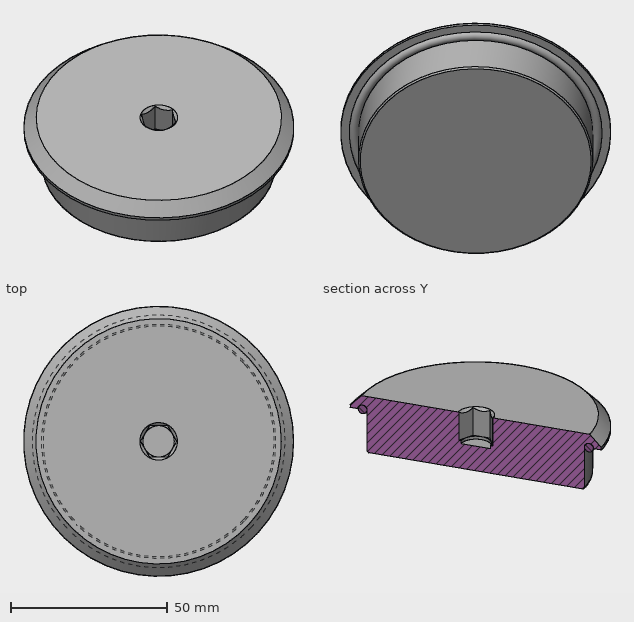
import cadquery as cq
import math

height = 20.0
flange_diameter = 86.5
flange_thickness = 5.0
flange_chamfer = 4.0
plug_diameter = 75.0
plug_chamfer = 0.5

ring_outer_diameter = 81.0
ring_section_diameter = (ring_outer_diameter - plug_diameter) / 2
ring_center_radius = (plug_diameter + ring_section_diameter) / 2

socket_across_flats = 10.0
socket_depth = 10.0
socket_mouth_diameter = 12.0
countersink_half_angle = 45.0
relief_diameter = socket_across_flats
relief_depth = 1.0

flange_bottom = height - flange_thickness


def make_sealing_ring():
    """Round-section ring centred on the flange's underside."""
    return (
        cq.Workplane("XZ")
        .center(ring_center_radius, flange_bottom)
        .circle(ring_section_diameter / 2)
        .revolve(360, (-ring_center_radius, 0), (-ring_center_radius, 1))
    )


def make_plug_blank():
    """Chamfered cylinder under a chamfered flange."""
    cylinder = (
        cq.Workplane("XY")
        .circle(plug_diameter / 2)
        .extrude(flange_bottom)
        .faces("<Z")
        .chamfer(plug_chamfer)
    )
    flange = (
        cq.Workplane("XY", origin=(0, 0, flange_bottom))
        .circle(flange_diameter / 2)
        .extrude(flange_thickness)
        .faces(">Z")
        .chamfer(flange_chamfer)
    )
    return cylinder.union(flange)


def make_socket():
    """Cutting shape of the socket, with two hexagon corners on the X axis."""
    across_corners = socket_across_flats / math.cos(math.radians(30))
    hexagon = cq.Workplane("XY", origin=(0, 0, height)).polygon(6, across_corners).extrude(-socket_depth)
    relief = (
        cq.Workplane("XY", origin=(0, 0, height - socket_depth))
        .circle(relief_diameter / 2)
        .extrude(-relief_depth)
    )
    mouth_radius = socket_mouth_diameter / 2
    cone_depth = mouth_radius / math.tan(math.radians(countersink_half_angle))
    countersink = (
        cq.Workplane("XZ")
        .polyline([(0, height), (mouth_radius, height), (0, height - cone_depth)])
        .close()
        .revolve(360, (0, 0), (0, 1))
    )
    return hexagon.union(relief).union(countersink)


sealing_ring = make_sealing_ring()
plug = make_plug_blank().cut(make_socket()).cut(sealing_ring)

result = cq.Compound.makeCompound([plug.val(), sealing_ring.val()])